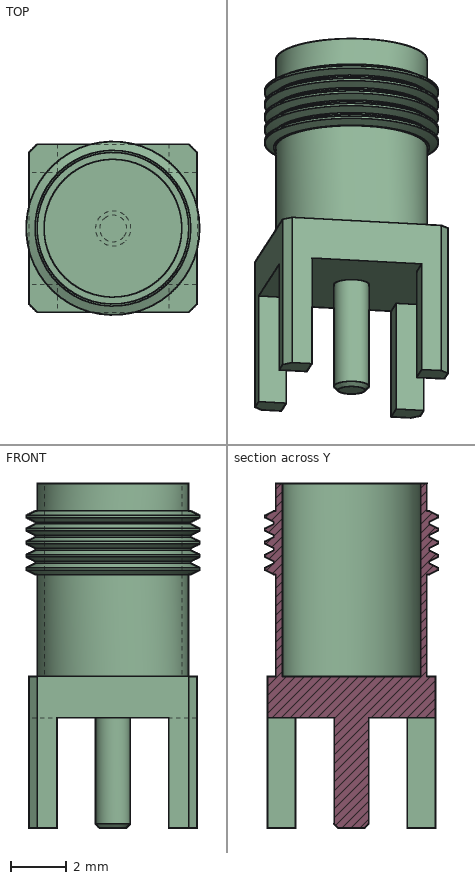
import cadquery as cq

total_height = 12.5

base_side = 6.1
corner_chamfer = 0.3
base_top = 5.5
leg_length = 4.0
leg_gap = 4.05

pin_diameter = 1.28
pin_chamfer = 0.15

barrel_diameter = 5.5
bore_diameter = 5.0
bore_floor = base_top

ridge_count = 5
ridge_pitch = 0.48
top_ridge_center = 11.3
crest_diameter = 6.3
root_diameter = 5.65
crest_width = 0.09
ridge_width = 0.41


def make_base():
    """Chamfered block with crossing channels that leave four legs."""
    block = (
        cq.Workplane("XY")
        .rect(base_side, base_side)
        .extrude(base_top)
        .edges("|Z")
        .chamfer(corner_chamfer)
    )
    channel_x = cq.Workplane("XY").rect(base_side, leg_gap).extrude(leg_length)
    channel_y = cq.Workplane("XY").rect(leg_gap, base_side).extrude(leg_length)
    return block.cut(channel_x).cut(channel_y)


def make_pin():
    """Centre pin with a chamfered lower tip, reaching up to the base."""
    pin = cq.Workplane("XY").circle(pin_diameter / 2).extrude(base_top)
    return pin.faces("<Z").chamfer(pin_chamfer)


def make_threaded_sleeve():
    """Root cylinder carrying evenly spaced trapezoidal ridges."""
    crest_radius = crest_diameter / 2
    root_radius = root_diameter / 2
    bore_radius = bore_diameter / 2
    bottom_ridge_center = top_ridge_center - (ridge_count - 1) * ridge_pitch

    profile = [(bore_radius, bottom_ridge_center - ridge_width / 2)]
    for index in range(ridge_count):
        center = bottom_ridge_center + index * ridge_pitch
        profile += [
            (root_radius, center - ridge_width / 2),
            (crest_radius, center - crest_width / 2),
            (crest_radius, center + crest_width / 2),
            (root_radius, center + ridge_width / 2),
        ]
    profile.append((bore_radius, top_ridge_center + ridge_width / 2))
    return cq.Workplane("XZ").polyline(profile).close().revolve(360, (0, 0), (0, 1))


def make_barrel():
    """Tube standing on the base, with the threaded sleeve around it."""
    tube = (
        cq.Workplane("XY")
        .workplane(offset=bore_floor)
        .circle(barrel_diameter / 2)
        .circle(bore_diameter / 2)
        .extrude(total_height - bore_floor)
    )
    return tube.union(make_threaded_sleeve())


result = make_base().union(make_pin()).union(make_barrel())